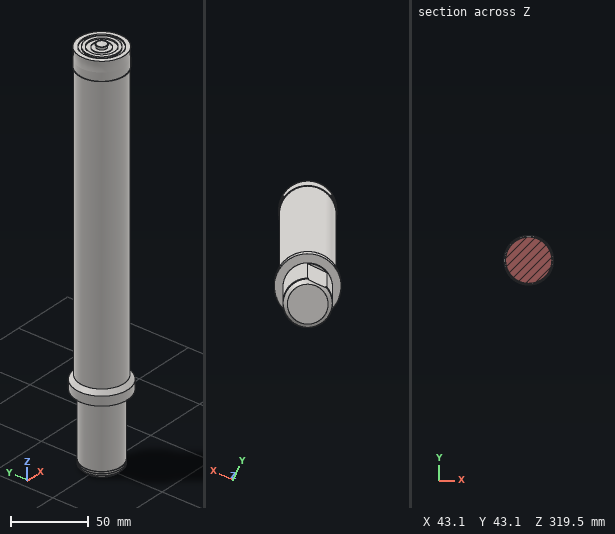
import cadquery as cq

total_height = 319.5
tube_radius = 18.2
flange_radius = 21.57
spigot_radius = 16.0
cap_radius = 18.7

spigot_chamfer = 3.0
snap_groove_bottom = 4.0
snap_groove_top = 5.8
snap_groove_depth = 0.3
spigot_top = 56.5
neck_radius = 15.0
flat_offset = 14.5
flat_top = 54.0

flange_bottom = 58.5
flange_top = 69.5
flange_bevel = flange_radius - tube_radius

cap_bottom = 300.7
cap_waist_bottom = 307.5
cap_lip_bottom = 315.0
cap_top = 316.0
cap_waist_depth = 0.3

relief_depth = 1.0
ring_groove_outer = 15.3
ring_groove_inner = 13.0
recess_radius = 10.5
washer_radius = 7.0
washer_height = 0.48

button_radius = 4.5
button_stem_radius = 3.8
button_head_height = 1.5


def cylinder(radius, bottom, top):
    return cq.Workplane("XY").workplane(offset=bottom).circle(radius).extrude(top - bottom)


def ring(outer, inner, bottom, top):
    return cylinder(outer, bottom, top).cut(cylinder(inner, bottom, top))


def make_spigot():
    spigot = cylinder(spigot_radius, 0, spigot_top).faces("<Z").chamfer(spigot_chamfer)
    groove_floor = spigot_radius - snap_groove_depth
    spigot = spigot.cut(ring(spigot_radius, groove_floor, snap_groove_bottom, snap_groove_top))
    flat_cutter = cq.Workplane("XY").box(
        2 * spigot_radius, spigot_radius, flat_top, centered=(True, False, False)
    )
    return spigot.cut(flat_cutter.translate((0, flat_offset, 0)))


def make_flanged_tube():
    flange = cylinder(flange_radius, flange_bottom, flange_top)
    flange = flange.faces(">Z").chamfer(flange_bevel)
    return flange.union(cylinder(tube_radius, flange_bottom, cap_bottom))


def make_cap():
    waist_middle = (cap_waist_bottom + cap_lip_bottom) / 2
    cap = (
        cq.Workplane("XZ")
        .moveTo(0, cap_bottom)
        .lineTo(cap_radius, cap_bottom)
        .lineTo(cap_radius, cap_waist_bottom)
        .threePointArc((cap_radius - cap_waist_depth, waist_middle), (cap_radius, cap_lip_bottom))
        .lineTo(cap_radius, cap_top)
        .lineTo(0, cap_top)
        .close()
        .revolve(360, (0, 0, 0), (0, 1, 0))
    )
    relief_floor = cap_top - relief_depth
    cap = cap.cut(ring(ring_groove_outer, ring_groove_inner, relief_floor, cap_top))
    cap = cap.cut(cylinder(recess_radius, relief_floor, cap_top))
    return cap.union(cylinder(washer_radius, relief_floor, relief_floor + washer_height))


def make_button():
    head_base = total_height - button_head_height
    head = cq.Workplane(cq.Solid.makeCone(button_radius, 0, button_head_height))
    head = head.translate((0, 0, head_base))
    stem = cylinder(button_stem_radius, cap_top - relief_depth, head_base)
    return stem.union(head)


neck = cylinder(neck_radius, spigot_top, flange_bottom)

result = make_spigot()
for section in (neck, make_flanged_tube(), make_cap(), make_button()):
    result = result.union(section)